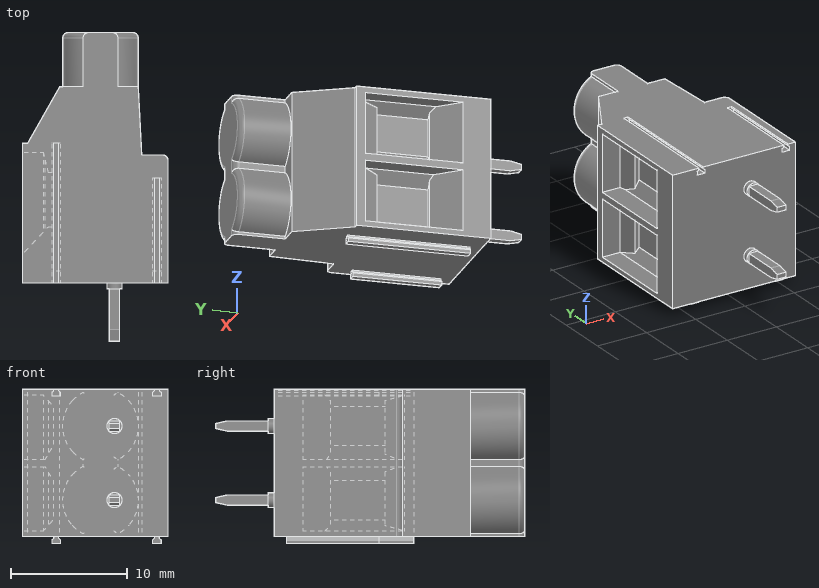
import cadquery as cq


PITCH = 6.35
BODY_WIDTH = 12.5
BODY_TOP = PITCH
BODY_HEIGHT = 12.65
BODY_BOTTOM = BODY_TOP - BODY_HEIGHT
BODY_MIDDLE = BODY_TOP - BODY_HEIGHT / 2
TOTAL_LENGTH = 26.5
PIN_LENGTH = 5.0
TOWER_END = TOTAL_LENGTH - PIN_LENGTH
POLE_HEIGHTS = (-PITCH / 2, PITCH / 2)

ENTRY_LEDGE_Y = 12.0
ENTRY_LEDGE_WIDTH = 0.45
SHOULDER_Y = 16.85
SHOULDER_X = 3.2
BACK_STEP_Y = 11.0
BACK_STEP_X = 10.25
EDGE_RADIUS = 0.5

TOWER_X = 6.7
TOWER_RADIUS = 3.25
WEB_WIDTH = 3.0
SHOULDER_BACK_X = TOWER_X + TOWER_RADIUS

FUNNEL_DEPTH = 2.65
THROAT_DEPTH = 2.22
MOUTH_DEPTH = 1.8
INNER_MOUTH_DEPTH = 1.95
MOUTH_Y = (2.47, 11.2)
FLOOR_Y = (4.82, 9.5)
DIVIDER_THICKNESS = 0.64
MOUTH_HEIGHT = 5.5
MOUTH_INNER_Z = DIVIDER_THICKNESS / 2
MOUTH_OUTER_Z = MOUTH_INNER_Z + MOUTH_HEIGHT
FLOOR_INNER_Z = 1.5
FLOOR_OUTER_Z = 4.87

PIN_X = 7.9
PIN_SIDE = 0.9
PIN_TIP_SIDE = 0.45
PIN_TAPER = 1.0
COLLAR_DIAMETER = 1.3
COLLAR_LENGTH = 0.5
PIN_ROOT = 0.5

RIB_HEIGHT = 0.62
RIB_WIDTH = 0.76
RIB_NECK_WIDTH = 0.43
RIB_FOOT_HEIGHT = 0.32
RIB_NECK_HEIGHT = 0.14
RIB_START_Y = 1.05
RIB_ENDS = ((2.9, ENTRY_LEDGE_Y), (11.53, 9.0))


def prism_along_z(points, bottom, top):
    return cq.Workplane("XY").workplane(offset=bottom).polyline(points).close().extrude(top - bottom)


def housing():
    outline = [
        (0, 0),
        (0, ENTRY_LEDGE_Y),
        (ENTRY_LEDGE_WIDTH, ENTRY_LEDGE_Y),
        (SHOULDER_X, SHOULDER_Y),
        (SHOULDER_BACK_X, SHOULDER_Y),
        (BACK_STEP_X, BACK_STEP_Y),
        (BODY_WIDTH, BACK_STEP_Y),
        (BODY_WIDTH, 0),
    ]
    body = prism_along_z(outline, BODY_BOTTOM, BODY_TOP)
    back_corner = cq.selectors.NearestToPointSelector((BODY_WIDTH, BACK_STEP_Y, BODY_MIDDLE))
    return body.edges(back_corner).fillet(EDGE_RADIUS)


def screw_towers():
    """Two cylinders with rounded ends, trimmed to the housing height, plus the joining web."""
    tower_length = TOWER_END - SHOULDER_Y
    middle_y = SHOULDER_Y + tower_length / 2
    web = (
        cq.Workplane("XY")
        .box(WEB_WIDTH, tower_length, BODY_HEIGHT)
        .translate((TOWER_X, middle_y, BODY_MIDDLE))
        .edges("|Z and >Y")
        .fillet(EDGE_RADIUS)
    )
    envelope = (
        cq.Workplane("XY")
        .box(2 * TOWER_RADIUS, tower_length, BODY_HEIGHT)
        .translate((TOWER_X, middle_y, BODY_MIDDLE))
    )
    towers = web
    for z in POLE_HEIGHTS:
        tower = (
            cq.Workplane("XZ", origin=(TOWER_X, SHOULDER_Y, z))
            .circle(TOWER_RADIUS)
            .extrude(-tower_length)
            .faces(">Y")
            .edges()
            .fillet(EDGE_RADIUS)
        )
        towers = towers.union(tower.intersect(envelope))
    return towers


def entry_funnel():
    """Wire-entry pocket of the upper pole: a tapered throat seen in plan, crossed with one in section."""
    plan = [
        (0, MOUTH_Y[0]),
        (THROAT_DEPTH, FLOOR_Y[0]),
        (FUNNEL_DEPTH, FLOOR_Y[0]),
        (FUNNEL_DEPTH, FLOOR_Y[1]),
        (THROAT_DEPTH, FLOOR_Y[1]),
        (MOUTH_DEPTH, MOUTH_Y[1]),
        (0, MOUTH_Y[1]),
    ]
    section = [
        (0, MOUTH_INNER_Z),
        (INNER_MOUTH_DEPTH, MOUTH_INNER_Z),
        (FUNNEL_DEPTH, FLOOR_INNER_Z),
        (FUNNEL_DEPTH, FLOOR_OUTER_Z),
        (MOUTH_DEPTH, MOUTH_OUTER_Z),
        (0, MOUTH_OUTER_Z),
    ]
    section_prism = cq.Workplane("XZ").polyline(section).close().extrude(-ENTRY_LEDGE_Y)
    return prism_along_z(plan, MOUTH_INNER_Z, MOUTH_OUTER_Z).intersect(section_prism)


def dovetail(x, face_z, start_y, end_y):
    """Bar hanging below the level face_z: narrow neck at the top, wide flat foot."""
    foot_z = face_z - RIB_HEIGHT
    neck_z = face_z - RIB_NECK_HEIGHT
    profile = [
        (x - RIB_NECK_WIDTH / 2, face_z),
        (x - RIB_NECK_WIDTH / 2, neck_z),
        (x - RIB_WIDTH / 2, foot_z + RIB_FOOT_HEIGHT),
        (x - RIB_WIDTH / 2, foot_z),
        (x + RIB_WIDTH / 2, foot_z),
        (x + RIB_WIDTH / 2, foot_z + RIB_FOOT_HEIGHT),
        (x + RIB_NECK_WIDTH / 2, neck_z),
        (x + RIB_NECK_WIDTH / 2, face_z),
    ]
    plane = cq.Workplane("XZ", origin=(0, start_y, 0))
    return plane.polyline(profile).close().extrude(start_y - end_y)


def solder_pin(z):
    """Square pin with a round collar; the tip tapers in Z only."""
    taper_y = PIN_TAPER - PIN_LENGTH
    half_side = PIN_SIDE / 2
    half_tip = PIN_TIP_SIDE / 2
    profile = [
        (PIN_ROOT, z - half_side),
        (taper_y, z - half_side),
        (-PIN_LENGTH, z - half_tip),
        (-PIN_LENGTH, z + half_tip),
        (taper_y, z + half_side),
        (PIN_ROOT, z + half_side),
    ]
    blade = cq.Workplane("YZ", origin=(PIN_X, 0, 0)).polyline(profile).close().extrude(half_side, both=True)
    collar = (
        cq.Workplane("XZ", origin=(PIN_X, PIN_ROOT, z))
        .circle(COLLAR_DIAMETER / 2)
        .extrude(PIN_ROOT + COLLAR_LENGTH)
    )
    return blade.union(collar)


result = housing().union(screw_towers())

upper_funnel = entry_funnel()
result = result.cut(upper_funnel).cut(upper_funnel.mirror("XY"))

for rib_x, rib_end in RIB_ENDS:
    result = result.cut(dovetail(rib_x, BODY_TOP, 0, rib_end))
    result = result.union(dovetail(rib_x, BODY_BOTTOM, RIB_START_Y, rib_end))

for pole_z in POLE_HEIGHTS:
    result = result.union(solder_pin(pole_z))